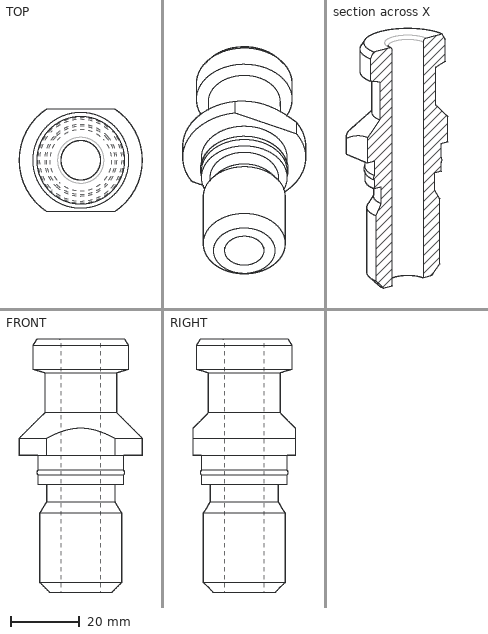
import cadquery as cq

total_height = 74.0
bore_diameter = 11.5
bore_mouth_diameter = 13.5

shank_diameter = 24.0
shank_tip_diameter = 18.0
shank_tip_height = (shank_diameter - shank_tip_diameter) / 2
shank_shoulder_z = 23.15
relief_diameter = 20.0
relief_bottom_z = 26.5

pilot_diameter = 25.0
pilot_bottom_z = 31.5
ring_section_diameter = 2.0
ring_outer_diameter = 25.6
ring_z = 35.0

flange_diameter = 36.0
flange_bottom_z = 40.0
flange_rim_z = 45.0
flats_width = 30.0

neck_diameter = 21.0
neck_bottom_z = flange_rim_z + (flange_diameter - neck_diameter) / 2
neck_top_z = 64.1
head_diameter = 28.0
head_bottom_z = 65.1
head_top_diameter = 25.6
head_chamfer_z = 72.1


def make_body():
    """Revolve the stepped outer profile around Z."""
    steps = [
        (shank_tip_diameter, 0),
        (shank_diameter, shank_tip_height),
        (shank_diameter, shank_shoulder_z),
        (relief_diameter, relief_bottom_z),
        (relief_diameter, pilot_bottom_z),
        (pilot_diameter, pilot_bottom_z),
        (pilot_diameter, flange_bottom_z),
        (flange_diameter, flange_bottom_z),
        (flange_diameter, flange_rim_z),
        (neck_diameter, neck_bottom_z),
        (neck_diameter, neck_top_z),
        (head_diameter, head_bottom_z),
        (head_diameter, head_chamfer_z),
        (head_top_diameter, total_height),
    ]
    profile = [(0, 0)] + [(diameter / 2, z) for diameter, z in steps] + [(0, total_height)]
    return cq.Workplane("XZ").polyline(profile).close().revolve(360, (0, 0), (0, 1))


def make_seal_ring():
    """Outer half of a round-section ring standing slightly proud of the pilot."""
    section_radius = ring_section_diameter / 2
    ring_outer_radius = ring_outer_diameter / 2
    center_radius = ring_outer_radius - section_radius
    return (
        cq.Workplane("XZ")
        .moveTo(center_radius, ring_z - section_radius)
        .threePointArc((ring_outer_radius, ring_z), (center_radius, ring_z + section_radius))
        .close()
        .revolve(360, (0, 0), (0, 1))
    )


def make_flats_envelope():
    """Slab whose two Y faces cut the wrench flats on the flange."""
    return cq.Workplane("XY").box(
        flange_diameter, flats_width, total_height, centered=(True, True, False)
    )


def make_bore():
    """Through bore with a rounded mouth at the top."""
    bore_radius = bore_diameter / 2
    mouth_radius = (bore_mouth_diameter - bore_diameter) / 2
    return (
        cq.Workplane("XZ")
        .lineTo(bore_radius, 0)
        .lineTo(bore_radius, total_height - mouth_radius)
        .radiusArc((bore_mouth_diameter / 2, total_height), mouth_radius)
        .lineTo(0, total_height)
        .close()
        .revolve(360, (0, 0), (0, 1))
    )


body = make_body().union(make_seal_ring())
result = body.intersect(make_flats_envelope()).cut(make_bore())